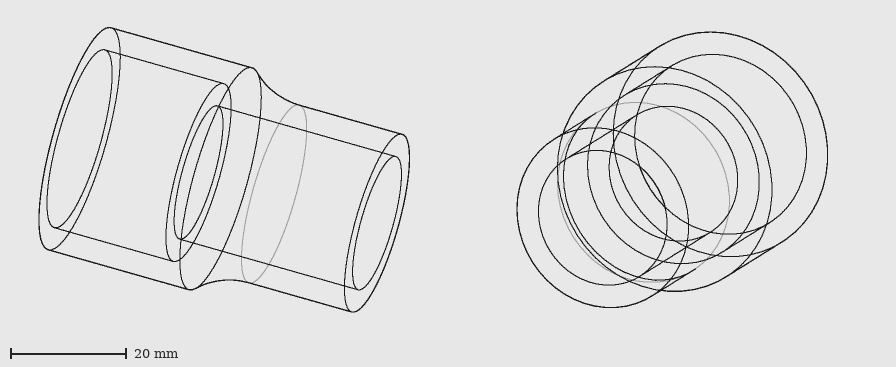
import cadquery as cq
import math

total_length = 55.0
socket_length = 26.05
spigot_length = 19.05
socket_radius = 40.0 / 2
spigot_radius = 32.0 / 2
bore_radius = 24.0 / 2
socket_depth = 22.0
wall = socket_radius - spigot_radius

neck_end = total_length - spigot_length
neck_length = neck_end - socket_length
neck_arc_radius = (neck_length**2 + wall**2) / (2 * wall)
half_sweep = math.asin(neck_length / neck_arc_radius) / 2
neck_mid = (
    neck_end - neck_arc_radius * math.sin(half_sweep),
    spigot_radius + neck_arc_radius * (1 - math.cos(half_sweep)),
)


def outer_body():
    """Solid of revolution about X with the outer shape of the sleeve."""
    profile = (
        cq.Workplane("XY")
        .lineTo(0, socket_radius)
        .lineTo(socket_length, socket_radius)
        .threePointArc(neck_mid, (neck_end, spigot_radius))
        .lineTo(total_length, spigot_radius)
        .lineTo(total_length, 0)
        .close()
    )
    return profile.revolve(360, (0, 0, 0), (1, 0, 0))


def bore(radius, length):
    """Cylinder along X, starting at the socket face."""
    return cq.Workplane("YZ").circle(radius).extrude(length)


result = (
    outer_body()
    .cut(bore(spigot_radius, socket_depth))
    .cut(bore(bore_radius, total_length))
)